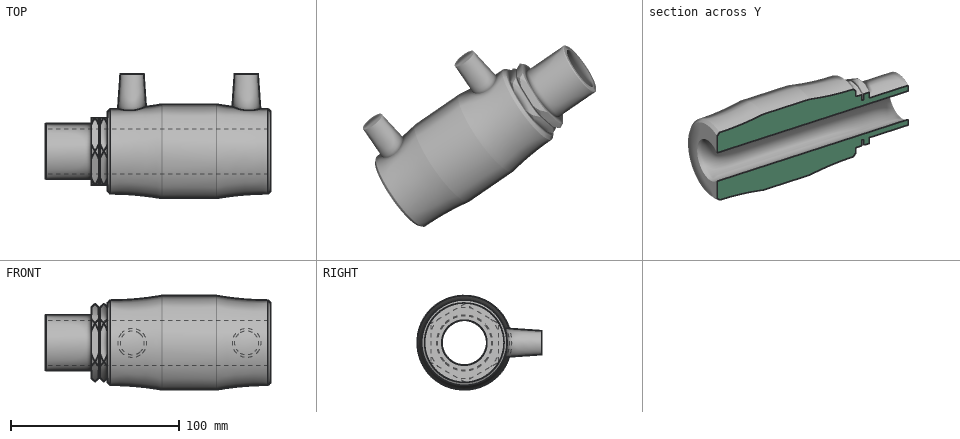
import cadquery as cq
import math

total_length = 134.0
bore_diameter = 26.5

tube_diameter = 33.2
tube_bevel = 0.5

hex_across_flats = 40.0
hex_width = 4.3
hex_starts = (27.5, 32.7)
hex_bevel = 2.0

body_start = 37.0
body_diameter = 56.0
body_end_diameter = 50.7
body_chamfer = 1.7
barrel_length = 32.3

boss_reach = 46.0
boss_tip_diameter = 14.2
boss_half_angle = 4.0
boss_inset = 14.6


def revolve_about_x(profile):
    return profile.close().revolve(360, (0, 0, 0), (1, 0, 0))


def make_tube():
    tube = cq.Workplane("YZ").circle(tube_diameter / 2).extrude(total_length)
    return tube.faces("<X").edges().chamfer(tube_bevel)


def make_hex_collar(start):
    corner_radius = hex_across_flats / math.sqrt(3)
    face_radius = corner_radius - hex_bevel
    middle = start + hex_width / 2
    end = start + hex_width
    prism = (
        cq.Workplane("YZ", origin=(start, 0, 0))
        .polygon(6, 2 * corner_radius)
        .extrude(hex_width)
        .rotate((0, 0, 0), (1, 0, 0), 90)
    )
    double_cone = revolve_about_x(
        cq.Workplane("XY")
        .moveTo(start, 0)
        .lineTo(start, face_radius)
        .lineTo(middle, corner_radius)
        .lineTo(end, face_radius)
        .lineTo(end, 0)
    )
    return prism.intersect(double_cone)


def make_body():
    barrel_radius = body_diameter / 2
    end_radius = body_end_diameter / 2
    face_radius = end_radius - body_chamfer
    middle = (body_start + total_length) / 2
    barrel_start = middle - barrel_length / 2
    barrel_end = middle + barrel_length / 2
    flare_start = body_start + body_chamfer
    flare_end = total_length - body_chamfer

    run = barrel_start - flare_start
    rise = barrel_radius - end_radius
    flare_radius = (run**2 + rise**2) / (2 * rise)
    half_turn = math.asin(run / flare_radius) / 2
    arc_offset = flare_radius * math.sin(half_turn)
    arc_height = end_radius + flare_radius * (1 - math.cos(half_turn))

    return revolve_about_x(
        cq.Workplane("XY")
        .moveTo(body_start, 0)
        .lineTo(body_start, face_radius)
        .lineTo(flare_start, end_radius)
        .threePointArc((flare_start + arc_offset, arc_height), (barrel_start, barrel_radius))
        .lineTo(barrel_end, barrel_radius)
        .threePointArc((flare_end - arc_offset, arc_height), (flare_end, end_radius))
        .lineTo(total_length, face_radius)
        .lineTo(total_length, 0)
    )


def make_boss(x):
    root_y = tube_diameter / 2
    tip_radius = boss_tip_diameter / 2
    root_radius = tip_radius + (boss_reach - root_y) * math.tan(math.radians(boss_half_angle))
    cone = cq.Solid.makeCone(
        root_radius, tip_radius, boss_reach - root_y, cq.Vector(x, root_y, 0), cq.Vector(0, 1, 0)
    )
    return cq.Workplane(obj=cone)


result = make_tube().union(make_body())

for hex_start in hex_starts:
    result = result.union(make_hex_collar(hex_start))

for boss_x in (body_start + boss_inset, total_length - boss_inset):
    result = result.union(make_boss(boss_x))

bore = cq.Workplane("YZ").circle(bore_diameter / 2).extrude(total_length)
result = result.cut(bore)